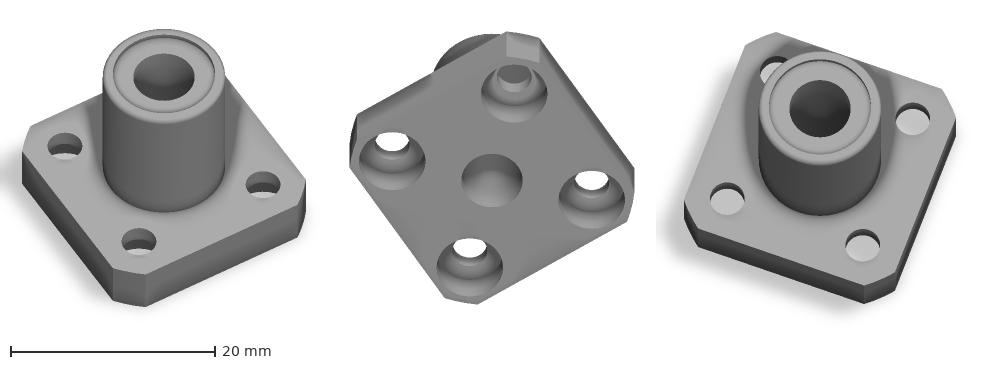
import cadquery as cq

flange_width = 22.0
flange_blank_diameter = 28.0
flange_thickness = 5.0

total_height = 19.0
sleeve_diameter = 12.0
sleeve_edge_radius = 0.5

bore_diameter = 6.0
recess_diameter = 10.0
recess_depth = 0.5

bolt_circle_diameter = 20.0
bolt_hole_count = 4
first_bolt_angle = 45.0
bolt_hole_diameter = 3.4
counterbore_diameter = 6.5
counterbore_depth = 3.3


def make_flange():
    blank = cq.Workplane("XY").circle(flange_blank_diameter / 2).extrude(flange_thickness)
    square = cq.Workplane("XY").rect(flange_width, flange_width).extrude(flange_thickness)
    return blank.intersect(square)


def make_sleeve():
    sleeve = cq.Workplane("XY").circle(sleeve_diameter / 2).extrude(total_height)
    return sleeve.faces(">Z").edges().fillet(sleeve_edge_radius)


def make_bore():
    bore = cq.Workplane("XY").circle(bore_diameter / 2).extrude(total_height)
    recess = (
        cq.Workplane("XY")
        .workplane(offset=total_height - recess_depth)
        .circle(recess_diameter / 2)
        .extrude(recess_depth)
    )
    return bore.union(recess)


def make_bolt_holes():
    pattern = cq.Workplane("XY").polarArray(
        bolt_circle_diameter / 2, first_bolt_angle, 360, bolt_hole_count
    )
    holes = pattern.circle(bolt_hole_diameter / 2).extrude(flange_thickness)
    counterbores = pattern.circle(counterbore_diameter / 2).extrude(counterbore_depth)
    return holes.union(counterbores)


body = make_flange().union(make_sleeve())
result = body.cut(make_bore()).cut(make_bolt_holes())